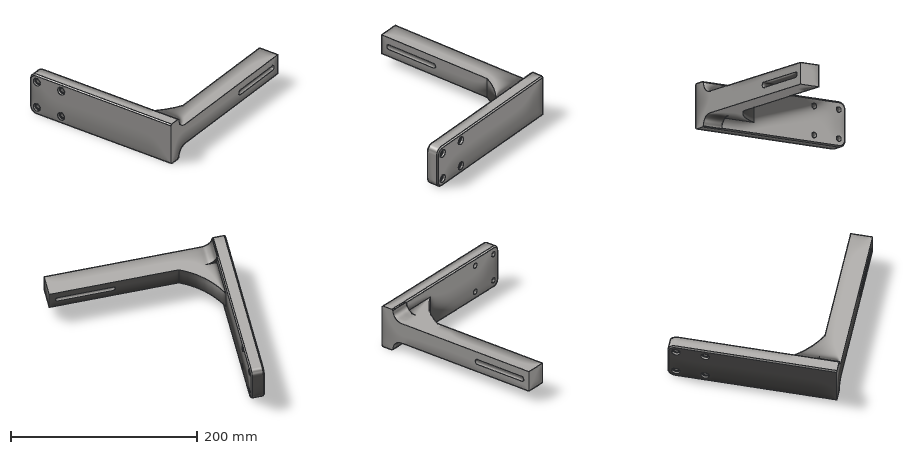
import cadquery as cq
import math

length_x = 185.0
length_y = 200.0
height = 50.0

plate_thickness = 15.0
corner_radius = 8.2
edge_chamfer = 1.5

arm_width = 24.0
arm_height = 24.0
root_radius = 12.0
arm_left = length_x - arm_width

brace_leg = 42.0
brace_radius = 90.0

hole_diameter = 6.0
counterbore_diameter = 9.0
counterbore_depth = 3.0
hole_inset = 9.0
hole_pitch = height - 2 * hole_inset

slot_length = 66.0
slot_width = 6.0
slot_tip_gap = 7.0


def make_plate():
    """Plate with rounded, chamfered free end and a square, plain +X end."""
    plate = cq.Workplane("XY").box(length_x, plate_thickness, height, centered=(False, False, True))
    plate = plate.edges("|Y and <X").fillet(corner_radius)
    rim = plate.faces("<Y or >Y").edges("not(>X)")
    return rim.chamfer(edge_chamfer)


def make_arm():
    """Arm whose root flares up and down to meet the plate."""
    half_height = arm_height / 2
    root_top = half_height + root_radius
    root_end = plate_thickness + root_radius
    arc_offset = root_radius * (1 - math.sqrt(0.5))
    embed = plate_thickness / 2
    return (
        cq.Workplane("YZ", origin=(arm_left, 0, 0))
        .moveTo(embed, -root_top)
        .lineTo(plate_thickness, -root_top)
        .threePointArc((plate_thickness + arc_offset, -half_height - arc_offset), (root_end, -half_height))
        .lineTo(length_y, -half_height)
        .lineTo(length_y, half_height)
        .lineTo(root_end, half_height)
        .threePointArc((plate_thickness + arc_offset, half_height + arc_offset), (plate_thickness, root_top))
        .lineTo(embed, root_top)
        .close()
        .extrude(arm_width)
    )


def make_brace():
    """Corner brace with a hollow circular edge, as tall as the arm."""
    half_chord = brace_leg / math.sqrt(2)
    sagitta = brace_radius - math.sqrt(brace_radius**2 - half_chord**2)
    mid_offset = brace_leg / 2 - sagitta / math.sqrt(2)
    embed_y = plate_thickness / 2
    embed_x = arm_left + arm_width / 2
    brace_top = plate_thickness + brace_leg
    return (
        cq.Workplane("XY", origin=(0, 0, -arm_height / 2))
        .moveTo(arm_left - brace_leg, plate_thickness)
        .threePointArc((arm_left - mid_offset, plate_thickness + mid_offset), (arm_left, brace_top))
        .lineTo(embed_x, brace_top)
        .lineTo(embed_x, embed_y)
        .lineTo(arm_left - brace_leg, embed_y)
        .close()
        .extrude(arm_height)
    )


def cut_screw_holes(body):
    """Counterbored holes entering from the outer face of the plate."""
    centers = [
        (x, z)
        for x in (hole_inset, hole_inset + hole_pitch)
        for z in (-hole_pitch / 2, hole_pitch / 2)
    ]
    face = cq.Workplane("XZ").pushPoints(centers)
    holes = face.circle(hole_diameter / 2).extrude(-plate_thickness)
    counterbores = face.circle(counterbore_diameter / 2).extrude(-counterbore_depth)
    return body.cut(holes).cut(counterbores)


def cut_arm_slot(body):
    """Long slot through the arm along X, near its free end."""
    center_y = length_y - slot_tip_gap - slot_length / 2
    slot = (
        cq.Workplane("YZ", origin=(arm_left, center_y, 0))
        .slot2D(slot_length, slot_width)
        .extrude(arm_width)
    )
    return body.cut(slot)


bracket = make_plate().union(make_arm()).union(make_brace())
result = cut_arm_slot(cut_screw_holes(bracket))